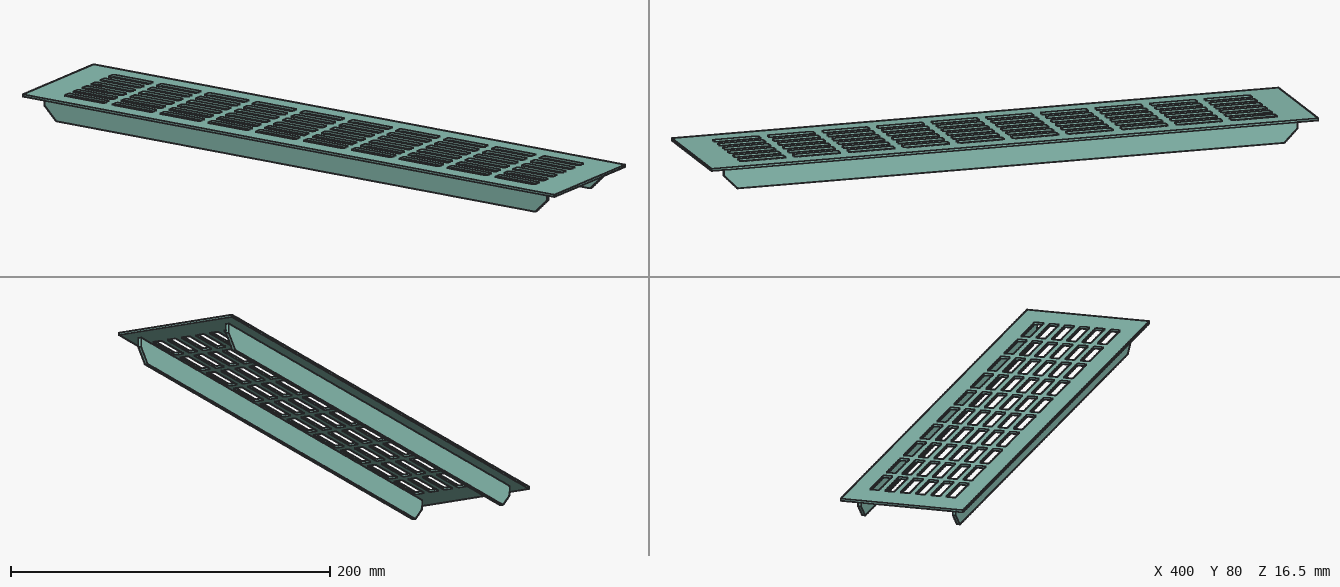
import cadquery as cq

plate_length = 400.0
plate_width = 80.0
plate_thickness = 1.5
total_height = 16.5

slot_columns = 10
slot_rows = 6
slot_length = 30.0
slot_width = 6.0
column_gap = 6.0
row_gap = 4.0
slot_corner_radius = 1.0

flange_length = 378.0
flange_thickness = 2.0
flange_spacing = 62.0
flange_chamfer = 9.0
flange_height = total_height - plate_thickness


def make_plate():
    """Flat rectangular plate resting on the XY plane."""
    return cq.Workplane("XY").box(
        plate_length, plate_width, plate_thickness, centered=(True, True, False)
    )


def make_slots():
    """Grid of rounded-corner cutters passing through the plate."""
    slot = (
        cq.Workplane("XY")
        .box(slot_length, slot_width, plate_thickness, centered=(True, True, False))
        .edges("|Z")
        .fillet(slot_corner_radius)
        .val()
    )
    return (
        cq.Workplane("XY")
        .rarray(slot_length + column_gap, slot_width + row_gap, slot_columns, slot_rows)
        .eachpoint(slot)
    )


def make_flange(y_middle):
    """Upright strip under the plate with both lower corners cut at 45 degrees."""
    return (
        cq.Workplane("XY")
        .box(flange_length, flange_thickness, flange_height)
        .edges("|Y and <Z")
        .chamfer(flange_chamfer)
        .translate((0, y_middle, -flange_height / 2))
    )


result = make_plate().cut(make_slots())
for side in (-1, 1):
    result = result.union(make_flange(side * flange_spacing / 2))